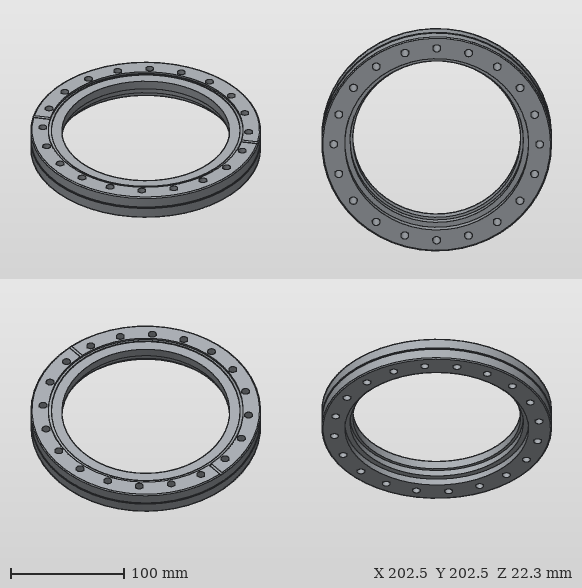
import cadquery as cq

outer_diameter = 202.5
thickness = 22.3
rim_chamfer = 1.0
outer_radius = outer_diameter / 2

bore_radius = 73.9
middle_bore_radius = 76.3
middle_bore_top = 12.5
lower_bore_radius = 81.0
lower_bore_top = 6.5

recess_radius = 85.8
recess_depth = 1.8
knife_radius = 83.2
knife_root_radius = 83.0
knife_tip_depth = 0.8
inner_face_depth = 1.5

rim_groove_width = 1.6
rim_groove_depth = 0.5

hole_count = 20
hole_diameter = 6.9
hole_circle_radius = 90.7

leak_groove_diameter = 2.6
leak_groove_depth = 1.0
leak_groove_angle = 180 / hole_count


def make_ring():
    """Revolve the half section, including bore steps, knife edge and rim groove."""
    middle = thickness / 2
    section = [
        (bore_radius, middle_bore_top),
        (bore_radius, thickness - inner_face_depth),
        (knife_root_radius, thickness - inner_face_depth),
        (knife_radius, thickness - knife_tip_depth),
        (recess_radius, thickness - recess_depth),
        (recess_radius, thickness),
        (outer_radius - rim_chamfer, thickness),
        (outer_radius, thickness - rim_chamfer),
        (outer_radius, middle + rim_groove_width / 2),
        (outer_radius - rim_groove_depth, middle),
        (outer_radius, middle - rim_groove_width / 2),
        (outer_radius, rim_chamfer),
        (outer_radius - rim_chamfer, 0),
        (lower_bore_radius, 0),
        (lower_bore_radius, lower_bore_top),
        (middle_bore_radius, lower_bore_top),
        (middle_bore_radius, middle_bore_top),
    ]
    return cq.Workplane("XZ").polyline(section).close().revolve(360, (0, 0), (0, 1))


def make_bolt_holes():
    """Through holes evenly spaced on the bolt circle, starting on the X axis."""
    return (
        cq.Workplane("XY")
        .polarArray(hole_circle_radius, 0, 360, hole_count)
        .circle(hole_diameter / 2)
        .extrude(thickness)
    )


def make_leak_groove(angle):
    """Round-bottomed radial groove from the sealing recess out through the rim."""
    start = (recess_radius + knife_radius) / 2
    axis_height = thickness - leak_groove_depth + leak_groove_diameter / 2
    return (
        cq.Workplane("YZ", origin=(start, 0, 0))
        .center(0, axis_height)
        .circle(leak_groove_diameter / 2)
        .extrude(outer_radius)
        .rotate((0, 0, 0), (0, 0, 1), angle)
    )


result = make_ring().cut(make_bolt_holes())
for side in (0, 180):
    result = result.cut(make_leak_groove(leak_groove_angle + side))